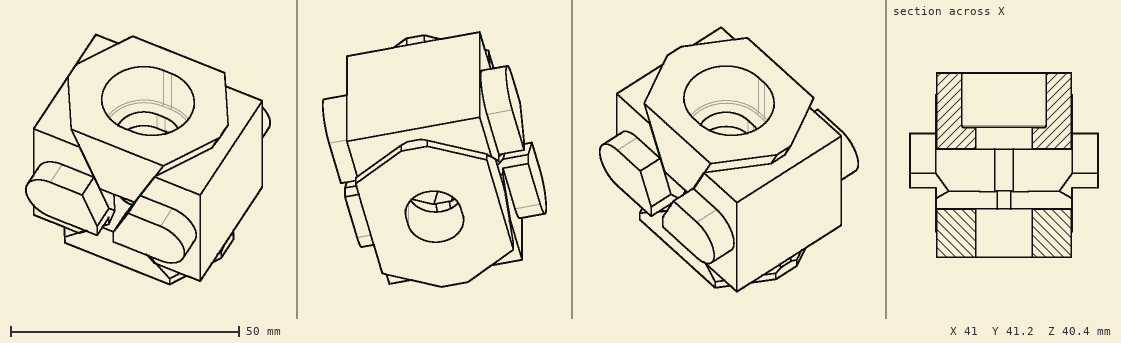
import cadquery as cq
import math

TOTAL_WIDTH = 41.0
TOTAL_DEPTH = 41.2

JAW_GAP = 3.9
JAW_DEPTH = 29.85
JAW_HEIGHT = 30.0

LUG_RADIUS = 5.97
LUG_CENTER_Z = 15.55
LUG_SPAN = 39.05

WEDGE_DEPTH = 29.5

UPPER_TOP_Z = 34.77
UPPER_HEIGHT = 16.73
UPPER_LENGTH = 37.4
UPPER_NOSE_WIDTH = 3.95
UPPER_TAPER = math.tan(math.radians(30))
UPPER_LEAN = math.tan(math.radians(22.8))

LOWER_BOTTOM_Z = -5.65
LOWER_HEIGHT = 10.6
LOWER_LENGTH = 39.05
LOWER_NOSE_WIDTH = 3.0
LOWER_END_WIDTH = 5.95
LOWER_END_HEIGHT = 2.9
LOWER_TAPER = math.tan(math.radians(29.4))
LOWER_LEAN = -math.tan(math.radians(45))

SLOT_OFFSET = 2.0
BOLT_RADIUS = 6.15
COUNTERBORE_RADIUS = 9.23
COUNTERBORE_DEPTH = 11.95
COUNTERBORE_FILLET = 0.4

REACH = TOTAL_DEPTH


def flank_points(nose_x, nose_width, taper, side):
    """Plan of a pointed bar: a blunt nose at nose_x, open towards the other side."""
    flare_y = REACH
    nose_y = nose_width / 2
    flare_x = nose_x - (flare_y - nose_y) * taper
    back_x = -REACH
    plan = [
        (back_x, -flare_y),
        (flare_x, -flare_y),
        (nose_x, -nose_y),
        (nose_x, nose_y),
        (flare_x, flare_y),
        (back_x, flare_y),
    ]
    return [(side * x, y) for x, y in plan]


def leaning_bar(nose_x, nose_z, nose_width, taper, lean, side):
    """Pointed bar whose nose passes through (nose_x, nose_z) and leans in X as it rises."""
    low_z = LOWER_BOTTOM_Z
    high_z = UPPER_TOP_Z
    low_nose = nose_x + lean * (low_z - nose_z)
    high_nose = nose_x + lean * (high_z - nose_z)
    return (
        cq.Workplane("XY", origin=(0, 0, low_z))
        .polyline(flank_points(low_nose, nose_width, taper, side))
        .close()
        .workplane(offset=high_z - low_z)
        .polyline(flank_points(high_nose, nose_width, taper, side))
        .close()
        .loft(ruled=True)
    )


def upper_flanks(side):
    nose_x = UPPER_LENGTH / 2
    return leaning_bar(nose_x, UPPER_TOP_Z, UPPER_NOSE_WIDTH, UPPER_TAPER, UPPER_LEAN, side)


def lower_flanks(side):
    nose_z = LOWER_BOTTOM_Z + LOWER_END_HEIGHT
    return leaning_bar(LOWER_LENGTH / 2, nose_z, LOWER_NOSE_WIDTH, LOWER_TAPER, LOWER_LEAN, side)


def upright_ends(side):
    return leaning_bar(LOWER_LENGTH / 2, LOWER_BOTTOM_Z, LOWER_END_WIDTH, LOWER_TAPER, 0, side)


def slot(radius, bottom_z, height):
    return (
        cq.Workplane("XY", origin=(0, 0, bottom_z))
        .slot2D(SLOT_OFFSET + 2 * radius, 2 * radius)
        .extrude(height)
    )


def slab(bottom_z, height, length):
    return (
        cq.Workplane("XY", origin=(0, 0, bottom_z))
        .rect(length, WEDGE_DEPTH)
        .extrude(height)
    )


def make_upper_wedge():
    body = slab(UPPER_TOP_Z - UPPER_HEIGHT, UPPER_HEIGHT, UPPER_LENGTH)
    for side in (1, -1):
        body = body.intersect(upper_flanks(side))
    floor_z = UPPER_TOP_Z - COUNTERBORE_DEPTH
    counterbore = slot(COUNTERBORE_RADIUS, floor_z, COUNTERBORE_DEPTH)
    counterbore = counterbore.faces("<Z").edges().fillet(COUNTERBORE_FILLET)
    bolt_slot = slot(BOLT_RADIUS, UPPER_TOP_Z - UPPER_HEIGHT, UPPER_HEIGHT)
    return body.cut(counterbore).cut(bolt_slot)


def make_lower_wedge():
    body = slab(LOWER_BOTTOM_Z, LOWER_HEIGHT, LOWER_LENGTH)
    for side in (1, -1):
        body = body.intersect(upright_ends(side)).intersect(lower_flanks(side))
    return body.cut(slot(BOLT_RADIUS, LOWER_BOTTOM_Z, LOWER_HEIGHT))


def make_lugs(side):
    """Full-depth bar, round at the outer end and trimmed to the groove at the inner end."""
    inner_x = JAW_GAP / 2
    arc_x = LUG_SPAN / 2 - LUG_RADIUS
    bottom_z = LUG_CENTER_Z - LUG_RADIUS
    top_z = LUG_CENTER_Z + LUG_RADIUS
    groove_x = UPPER_LENGTH / 2 - (JAW_DEPTH - UPPER_NOSE_WIDTH) / 2 * UPPER_TAPER
    groove_top_x = groove_x - UPPER_LEAN * (UPPER_TOP_Z - top_z)
    groove_end_z = UPPER_TOP_Z - (groove_x - inner_x) / UPPER_LEAN
    return (
        cq.Workplane("XZ")
        .moveTo(side * inner_x, bottom_z)
        .lineTo(side * inner_x, groove_end_z)
        .lineTo(side * groove_top_x, top_z)
        .lineTo(side * arc_x, top_z)
        .threePointArc((side * LUG_SPAN / 2, LUG_CENTER_Z), (side * arc_x, bottom_z))
        .close()
        .extrude(TOTAL_DEPTH / 2, both=True)
    )


def make_jaw(side):
    width = (TOTAL_WIDTH - JAW_GAP) / 2
    center_x = side * (JAW_GAP + width) / 2
    block = cq.Workplane("XY", origin=(center_x, 0, 0)).rect(width, JAW_DEPTH).extrude(JAW_HEIGHT)
    lugs = make_lugs(side).cut(block)
    return block.cut(upper_flanks(side)).cut(lower_flanks(side)).union(lugs)


upper_wedge = make_upper_wedge()
lower_wedge = make_lower_wedge()
jaws = [make_jaw(side) for side in (-1, 1)]

result = cq.Compound.makeCompound([
    *upper_wedge.solids().vals(),
    *lower_wedge.solids().vals(),
    *[jaw.solids().val() for jaw in jaws],
])